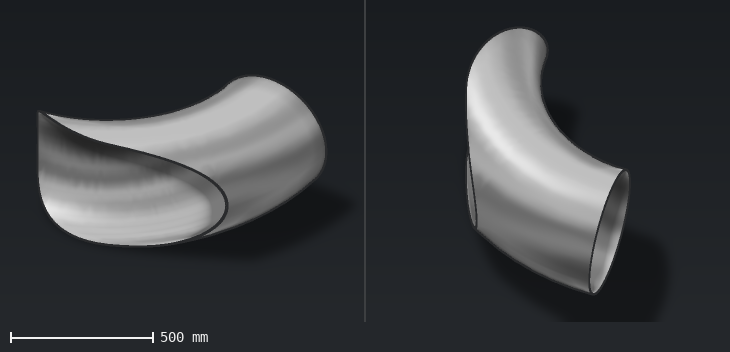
import cadquery as cq
import math

outer_diameter = 457.2
outer_radius = outer_diameter / 2
wall = 3.0
bend_radius = 1.5 * outer_diameter
inside_bend_radius = bend_radius - outer_radius
outside_bend_radius = bend_radius + outer_radius
sweep_angle = 95.0

trim_end_y = -inside_bend_radius
trim_start_x = -0.2
trim_lowest_y = -641.5
tight_arc_radius = bend_radius / 2
tangent_angle = math.radians(16.5)

tight_arc_center_y = trim_lowest_y + tight_arc_radius
tight_arc_center_x = trim_start_x + math.sqrt(
    tight_arc_radius**2 - (tight_arc_center_y - trim_end_y) ** 2
)

trim_end_x = math.sqrt(outside_bend_radius**2 - trim_end_y**2)

cutter_margin = 100.0


def on_tight_arc(angle):
    """Point on the tight arc, at an angle past its lowest point."""
    return (
        tight_arc_center_x + tight_arc_radius * math.sin(angle),
        tight_arc_center_y - tight_arc_radius * math.cos(angle),
    )


def make_pipe_bend():
    """Pipe bent about the Z axis, from its square end on Y = 0 towards -Y."""
    return (
        cq.Workplane("XZ")
        .center(bend_radius, 0)
        .circle(outer_radius)
        .circle(outer_radius - wall)
        .revolve(sweep_angle, (-bend_radius, 0), (-bend_radius, -1))
    )


def make_trim_cutter():
    """Prism along Z that removes everything beyond the trim curve."""
    left_x = trim_start_x - cutter_margin
    right_x = outside_bend_radius + cutter_margin
    bottom_y = -outside_bend_radius - cutter_margin
    return (
        cq.Workplane("XY")
        .moveTo(trim_start_x, trim_end_y)
        .threePointArc(on_tight_arc(0), on_tight_arc(tangent_angle))
        .tangentArcPoint((trim_end_x, trim_end_y), relative=False)
        .lineTo(right_x, trim_end_y)
        .lineTo(right_x, bottom_y)
        .lineTo(left_x, bottom_y)
        .lineTo(left_x, trim_end_y + cutter_margin)
        .lineTo(trim_start_x, trim_end_y + cutter_margin)
        .close()
        .extrude(outer_diameter, both=True)
    )


result = make_pipe_bend().cut(make_trim_cutter())